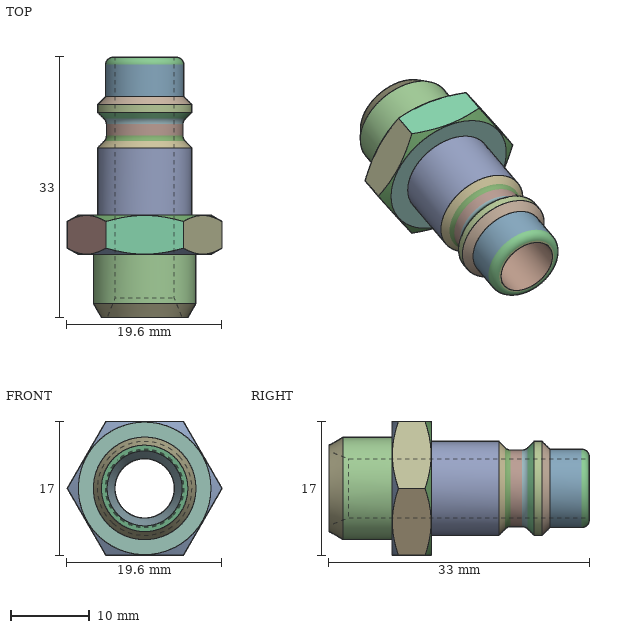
import cadquery as cq
import math

total_length = 33.0
hex_start = 8.0
hex_end = 13.0
hex_across_flats = 17.0

thread_radius = 13.0 / 2
thread_chamfer_length = 1.78
thread_chamfer_depth = 1.02

body_radius = 11.95 / 2
body_end = 21.5
groove_radius = 9.75 / 2
collar_start = 26.0
collar_end = 27.0
nose_radius = 9.95 / 2
nose_start = 28.0
nose_rounding = 1.0
groove_wall_angle = 45.0
groove_blend_radius = 1.0

bore_radius = 7.5 / 2
bore_mouth_radius = 9.5 / 2
bore_mouth_depth = 2.5

hex_face_radius = 16.8 / 2
hex_chamfer_angle = 30.0


def revolve_about_y(profile):
    """Revolve a closed (radius, Y) profile around the Y axis."""
    return profile.close().revolve(360, (0, 0, 0), (0, 1, 0))


def groove_blend(shoulder_y, side):
    """Return start, middle and end of the arc from a sloping groove wall to the groove floor.

    The wall starts on the body radius at shoulder_y; side is +1 if the groove lies towards +Y.
    """
    groove_depth = body_radius - groove_radius
    arc_span = math.radians(groove_wall_angle)
    wall_run = groove_depth / math.tan(arc_span)
    floor_y = shoulder_y + side * (wall_run + groove_blend_radius * math.tan(arc_span / 2))

    def arc_point(angle):
        return (
            groove_radius + groove_blend_radius * (1 - math.cos(angle)),
            floor_y - side * groove_blend_radius * math.sin(angle),
        )

    return arc_point(arc_span), arc_point(arc_span / 2), arc_point(0)


def make_turned_body():
    body_tangent, body_mid, floor_first = groove_blend(body_end, 1)
    collar_tangent, collar_mid, floor_last = groove_blend(collar_start, -1)
    rounding_offset = nose_rounding * (1 - math.sqrt(0.5))
    profile = (
        cq.Workplane("XY")
        .moveTo(0, 0)
        .lineTo(thread_radius - thread_chamfer_depth, 0)
        .lineTo(thread_radius, thread_chamfer_length)
        .lineTo(thread_radius, hex_start)
        .lineTo(body_radius, hex_start)
        .lineTo(body_radius, body_end)
        .lineTo(*body_tangent)
        .threePointArc(body_mid, floor_first)
        .lineTo(*floor_last)
        .threePointArc(collar_mid, collar_tangent)
        .lineTo(body_radius, collar_start)
        .lineTo(body_radius, collar_end)
        .lineTo(nose_radius, nose_start)
        .lineTo(nose_radius, total_length - nose_rounding)
        .threePointArc(
            (nose_radius - rounding_offset, total_length - rounding_offset),
            (nose_radius - nose_rounding, total_length),
        )
        .lineTo(0, total_length)
    )
    return revolve_about_y(profile)


def make_hexagon():
    """Hexagon with corners on the X axis, chamfered by a cone at both faces."""
    corner_radius = hex_across_flats / math.sqrt(3)
    prism = (
        cq.Workplane("XZ", origin=(0, hex_start, 0))
        .polygon(6, 2 * corner_radius)
        .extrude(hex_start - hex_end)
    )
    chamfer_length = (corner_radius - hex_face_radius) * math.tan(math.radians(hex_chamfer_angle))
    envelope = revolve_about_y(
        cq.Workplane("XY")
        .moveTo(0, hex_start)
        .lineTo(hex_face_radius, hex_start)
        .lineTo(corner_radius, hex_start + chamfer_length)
        .lineTo(corner_radius, hex_end - chamfer_length)
        .lineTo(hex_face_radius, hex_end)
        .lineTo(0, hex_end)
    )
    return prism.intersect(envelope)


def make_bore():
    """Through bore with a conical mouth at the threaded end."""
    return revolve_about_y(
        cq.Workplane("XY")
        .moveTo(0, 0)
        .lineTo(bore_mouth_radius, 0)
        .lineTo(bore_radius, bore_mouth_depth)
        .lineTo(bore_radius, total_length)
        .lineTo(0, total_length)
    )


result = make_turned_body().union(make_hexagon()).cut(make_bore())